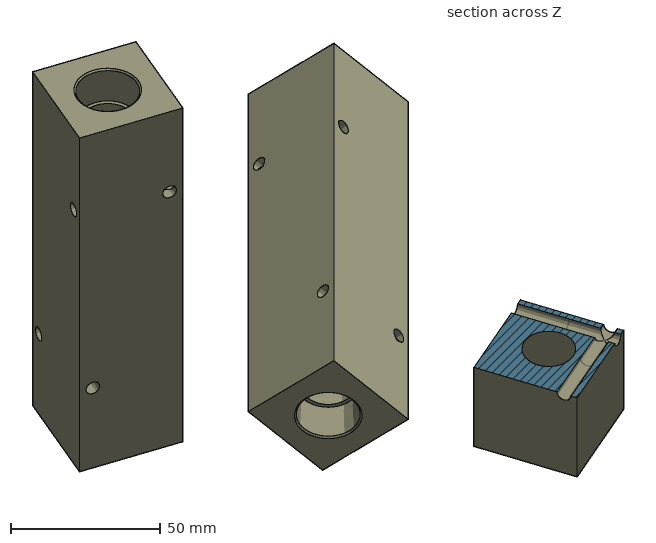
import cadquery as cq

height = 146.0
side = 38.1

bore_diameter = 17.8
port_mouth_diameter = 21.5
port_floor_diameter = 20.6
port_depth = 13.5
port_chamfer = 0.6

cross_hole_diameter = 5.0
cross_hole_offset = 14.2
cross_hole_end_distance = 35.0


def make_block():
    return cq.Workplane("XY").box(side, side, height, centered=(True, True, False))


def make_bore_and_ports():
    """Through bore with a chamfered, tapered port at both ends, as one revolved solid."""
    bore_radius = bore_diameter / 2
    mouth_radius = port_mouth_diameter / 2
    floor_radius = port_floor_diameter / 2
    port_outline = [
        (0, 0),
        (mouth_radius + port_chamfer, 0),
        (mouth_radius, port_chamfer),
        (floor_radius, port_depth),
        (bore_radius, port_depth),
    ]
    top_outline = [(radius, height - distance) for radius, distance in reversed(port_outline)]
    profile = cq.Workplane("XZ").polyline(port_outline + top_outline).close()
    return profile.revolve(360, (0, 0, 0), (0, 1, 0))


def make_cross_hole(plane, offset, level):
    """Hole square to the given plane, right through the block."""
    return (
        cq.Workplane(plane)
        .center(offset, level)
        .circle(cross_hole_diameter / 2)
        .extrude(side, both=True)
    )


result = make_block().cut(make_bore_and_ports())

for offset, level in (
    (cross_hole_offset, height - cross_hole_end_distance),
    (-cross_hole_offset, cross_hole_end_distance),
):
    for plane in ("XZ", "YZ"):
        result = result.cut(make_cross_hole(plane, offset, level))